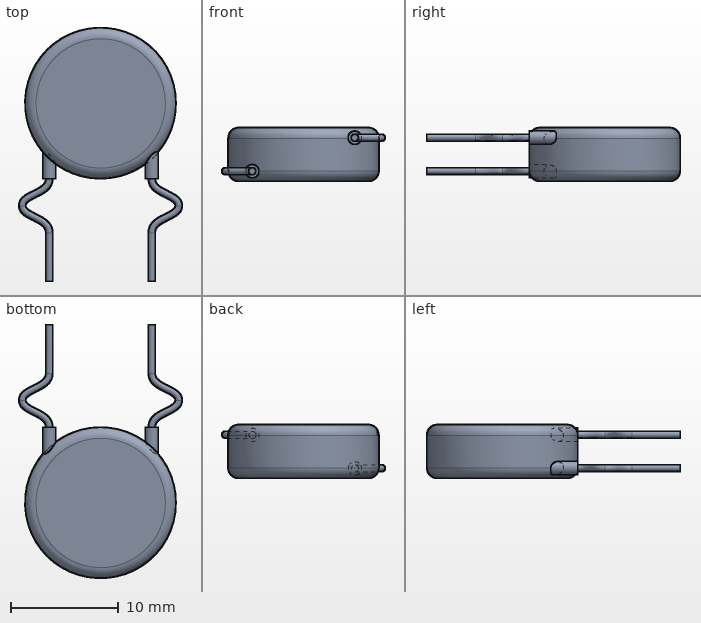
import cadquery as cq

overall_length = 23.5

disc_diameter = 14.0
disc_thickness = 5.0
disc_edge_radius = 1.0
disc_radius = disc_diameter / 2

collar_diameter = 1.25
collar_end_y = -disc_radius

wire_diameter = 0.65
lead_offset_x = 4.75
lead_offset_z = 1.55
lead_tip_y = disc_radius - overall_length

overall_width = 15.15
kink_reach = overall_width / 2 - wire_diameter / 2 - lead_offset_x
kink_half_length = 2.5
root_handle = 1.4
peak_handle = 1.08
kink_peak_y = collar_end_y - kink_half_length
kink_end_y = kink_peak_y - kink_half_length


def make_collar(side):
    """Cylinder running from the middle of the disc (y = 0) to the collar's end face."""
    return (
        cq.Workplane("XZ", origin=(side * lead_offset_x, 0, side * lead_offset_z))
        .circle(collar_diameter / 2)
        .extrude(-collar_end_y)
    )


def make_housing():
    """Rounded disc with its two lead collars."""
    housing = (
        cq.Workplane("XY", origin=(0, 0, -disc_thickness / 2))
        .circle(disc_radius)
        .extrude(disc_thickness)
        .edges("%CIRCLE")
        .fillet(disc_edge_radius)
    )
    for side in (-1, 1):
        housing = housing.union(make_collar(side))
    return housing.solids()


def make_lead(side):
    """Kinked wire that starts on the collar's end face; side is -1 or +1 along X."""
    lead_x = side * lead_offset_x
    peak_x = side * (lead_offset_x + kink_reach)
    lead_z = side * lead_offset_z

    path = (
        cq.Workplane("XY", origin=(0, 0, lead_z))
        .moveTo(lead_x, collar_end_y)
        .bezier([
            (lead_x, collar_end_y),
            (lead_x, collar_end_y - root_handle),
            (peak_x, kink_peak_y + peak_handle),
            (peak_x, kink_peak_y),
        ])
        .bezier([
            (peak_x, kink_peak_y),
            (peak_x, kink_peak_y - peak_handle),
            (lead_x, kink_end_y + root_handle),
            (lead_x, kink_end_y),
        ])
        .lineTo(lead_x, lead_tip_y)
    )
    return (
        cq.Workplane("XZ", origin=(lead_x, collar_end_y, lead_z))
        .circle(wire_diameter / 2)
        .sweep(path)
    )


housing = make_housing()
leads = [make_lead(side) for side in (-1, 1)]

result = cq.Compound.makeCompound([housing.val(), *[lead.val() for lead in leads]])